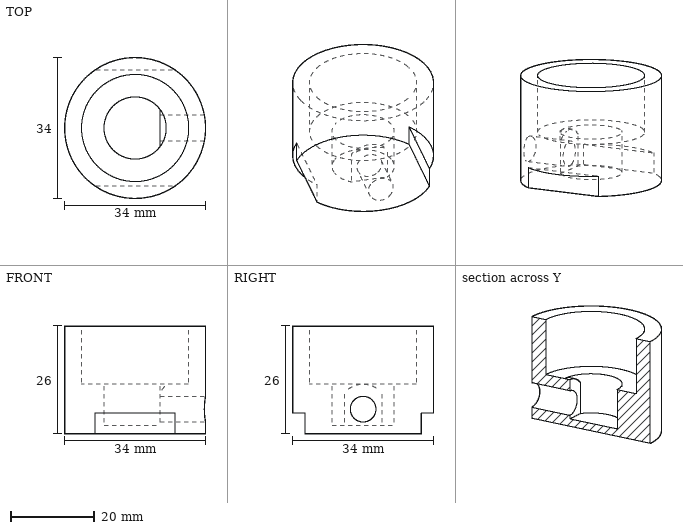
import cadquery as cq

body_diameter = 34.0
body_height = 26.0
bore_diameter = 25.85
bore_depth = 14.0
well_diameter = 15.0
floor_thickness = 2.0

flat_spacing = 28.0
flat_height = 5.0

port_height = 6.0
port_diameter = 6.2
boss_diameter = 12.0
boss_tip_x = 6.0

body_radius = body_diameter / 2
bore_floor_z = body_height - bore_depth
well_depth = bore_floor_z - floor_thickness


def vertical_cylinder(diameter, height, base_z):
    return cq.Workplane("XY").workplane(offset=base_z).circle(diameter / 2).extrude(height)


def side_cylinder(diameter):
    """Cylinder on the port axis, from the boss tip out to the body's +X side."""
    tip_plane = cq.Workplane("YZ", origin=(boss_tip_x, 0, port_height))
    return tip_plane.circle(diameter / 2).extrude(body_radius - boss_tip_x)


def flat_cutter(side):
    """Block outside one flat; side is -1 for -Y and +1 for +Y."""
    cutter_depth = body_radius
    center_y = side * (flat_spacing + cutter_depth) / 2
    block = cq.Workplane("XY").box(body_diameter, cutter_depth, flat_height, centered=(True, True, False))
    return block.translate((0, center_y, 0))


result = vertical_cylinder(body_diameter, body_height, 0)
result = result.cut(vertical_cylinder(bore_diameter, bore_depth, bore_floor_z))

well = vertical_cylinder(well_diameter, well_depth, floor_thickness)
result = result.cut(well.cut(side_cylinder(boss_diameter)))

result = result.cut(side_cylinder(port_diameter))

for side in (-1, 1):
    result = result.cut(flat_cutter(side))